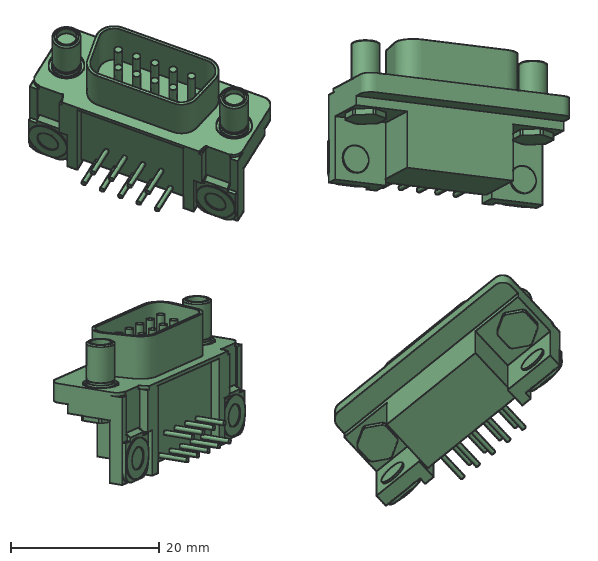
import cadquery as cq
import math

body_width = 31.05
half_width = body_width / 2
body_depth = 12.55
flange_top = 12.75
mid_y = body_depth / 2

flange_thickness = 2.7
thick_block_back = 9.62
thick_block_bottom = 8.78
leg_back = 3.0
corner_radius = 1.55
sheet_thickness = 0.5
sheet_bottom = flange_top - sheet_thickness
sheet_front = 1.37
sheet_corner_radius = 1.37
recess_half_width = 7.9
recess_depth = 1.2
housing_bottom = 0.93

lock_x = 12.5
pocket_depth = 1.05
lower_pocket_inner = 9.45
lower_pocket_top = 6.4
notch_back_x = 10.65
notch_front_x = 10.25

channel_width = 3.75
channel_inner = lock_x - channel_width / 2
channel_bottom = 6.7
strap_width = 3.45
strap_front = 1.27
lock_front = 0.55
jog_top = 6.92
plate_width = 5.85
plate_top = 5.9
plate_radius = 1.65
rivet_z = 3.15
rivet_radius = 2.85
rivet_front = 0.37
dimple_radius = 1.55
dimple_depth = 0.2
rivet_tail_radius = 1.9
rivet_tail_length = 0.28

shell_top = 18.7
shell_depth = 9.28
shell_radius = 2.55
shell_wall = 0.45
shell_back_flat = 6.4
shell_front_flat = 5.65

screw_top = 18.55
screw_radius = 1.92
screw_tip_radius = 1.65
screw_tip_height = 0.2
screw_neck_height = 0.55
screw_bottom = flange_top + screw_neck_height
screw_neck_radius = 1.8
screw_collar_radius = 2.0
screw_collar_top = flange_top + 0.2
screw_collar_edge = flange_top - 0.05
screw_bore_radius = 1.4
screw_bore_depth = 0.93
screw_seat_radius = 2.42
screw_seat_depth = 0.35
nut_flats = 5.0
nut_corners = 5.53
nut_height = 0.85

back_row_count = 5
front_row_count = 4
pin_pitch = 2.73
row_spacing = 2.85
contact_radius = 0.53
contact_top = 17.9
tail_radius = 0.35
tail_length = 3.17
lower_tail_z = 1.75


def box(x0, x1, y0, y1, z0, z1):
    return cq.Workplane("XY").box(x1 - x0, y1 - y0, z1 - z0, centered=False).translate((x0, y0, z0))


def upright(x, y, radius, z0, z1):
    return cq.Workplane("XY", origin=(x, y, z0)).circle(radius).extrude(z1 - z0)


def along_y(x, z, radius, y0, y1):
    return cq.Workplane("XZ", origin=(x, y0, z)).circle(radius).extrude(y0 - y1)


def both_ends(shape):
    return shape.union(shape.mirror("YZ"))


def make_body():
    flange = box(-half_width, half_width, 0, body_depth, flange_top - flange_thickness, flange_top)
    flange = flange.edges("|Z and >Y").fillet(corner_radius)
    block = box(-half_width, half_width, 0, thick_block_back,
                thick_block_bottom, flange_top - flange_thickness)
    legs = box(-half_width, half_width, 0, leg_back, 0, thick_block_bottom)
    legs = legs.cut(box(-recess_half_width, recess_half_width, 0, leg_back, 0, housing_bottom))
    housing = box(-recess_half_width, recess_half_width, recess_depth, thick_block_back,
                  housing_bottom, thick_block_bottom)
    recess = box(-recess_half_width, recess_half_width, 0, recess_depth, 0, sheet_bottom)
    return flange.union(block).union(legs).union(housing).cut(recess)


def make_end_pocket():
    upper = box(channel_inner, half_width, 0, pocket_depth, 0, sheet_bottom)
    lower = box(lower_pocket_inner, half_width, 0, pocket_depth, 0, lower_pocket_top)
    channel = box(channel_inner, lock_x + channel_width / 2, 0, strap_front,
                  channel_bottom, sheet_bottom)
    return upper.union(lower).union(channel)


def make_sheet_trim():
    """Material removed from the top sheet in front of one rounded end."""
    diagonal = math.sqrt(0.5) * sheet_corner_radius
    arc_center_x = half_width - sheet_corner_radius
    arc_center_y = sheet_front + sheet_corner_radius
    return (
        cq.Workplane("XY", origin=(0, 0, sheet_bottom))
        .moveTo(notch_front_x, 0)
        .lineTo(notch_back_x, sheet_front)
        .lineTo(arc_center_x, sheet_front)
        .threePointArc((arc_center_x + diagonal, arc_center_y - diagonal), (half_width, arc_center_y))
        .lineTo(half_width, 0)
        .close()
        .extrude(sheet_thickness)
    )


def make_board_lock():
    strap = (
        cq.Workplane("YZ", origin=(lock_x - strap_width / 2, 0, 0))
        .polyline([
            (strap_front, flange_top),
            (strap_front, jog_top),
            (lock_front, lower_pocket_top),
            (lock_front, rivet_z),
            (strap_front + sheet_thickness, rivet_z),
            (strap_front + sheet_thickness, flange_top),
        ])
        .close()
        .extrude(strap_width)
    )
    plate = box(lock_x - plate_width / 2, lock_x + plate_width / 2, lock_front, pocket_depth,
                plate_top - plate_width, plate_top)
    plate = plate.edges("|Y and <Z").fillet(plate_radius)
    disc = along_y(lock_x, rivet_z, rivet_radius, rivet_front, lock_front)
    dimple = along_y(lock_x, rivet_z, dimple_radius, rivet_front, rivet_front + dimple_depth)
    tail = along_y(lock_x, rivet_z, rivet_tail_radius, leg_back, leg_back + rivet_tail_length)
    return strap.union(plate).union(disc).cut(dimple).union(tail)


def d_prism(radius, bottom):
    """D-shaped prism up to the shell top; the slanted sides are tangent to the corner arcs."""
    center_y = shell_depth / 2 - shell_radius
    slant = math.atan2(shell_back_flat - shell_front_flat, 2 * center_y)

    def arc_point(x, y, angle):
        return (x + radius * math.cos(angle), y + radius * math.sin(angle))

    def mirrored(point):
        return (-point[0], point[1])

    quarter = math.pi / 2
    back_start = arc_point(shell_back_flat, center_y, quarter)
    back_mid = arc_point(shell_back_flat, center_y, (quarter - slant) / 2)
    back_end = arc_point(shell_back_flat, center_y, -slant)
    front_start = arc_point(shell_front_flat, -center_y, -slant)
    front_mid = arc_point(shell_front_flat, -center_y, -(quarter + slant) / 2)
    front_end = arc_point(shell_front_flat, -center_y, -quarter)
    return (
        cq.Workplane("XY", origin=(0, mid_y, bottom))
        .moveTo(*back_start)
        .threePointArc(back_mid, back_end)
        .lineTo(*front_start)
        .threePointArc(front_mid, front_end)
        .lineTo(*mirrored(front_end))
        .threePointArc(mirrored(front_mid), mirrored(front_start))
        .lineTo(*mirrored(back_end))
        .threePointArc(mirrored(back_mid), mirrored(back_start))
        .close()
        .extrude(shell_top - bottom)
    )


def make_screw():
    """Turned screw: collar with a tapered top, neck, head with a tapered tip and a blind bore."""
    outline = [
        (0, flange_top - screw_seat_depth),
        (screw_collar_radius, flange_top - screw_seat_depth),
        (screw_collar_radius, screw_collar_edge),
        (screw_neck_radius, screw_collar_top),
        (screw_neck_radius, screw_bottom),
        (screw_radius, screw_bottom),
        (screw_radius, screw_top - screw_tip_height),
        (screw_tip_radius, screw_top),
        (screw_bore_radius, screw_top),
        (screw_bore_radius, screw_top - screw_bore_depth),
        (0, screw_top - screw_bore_depth),
    ]
    screw = cq.Workplane("XZ").polyline(outline).close().revolve(360, (0, 0), (0, 1))
    return screw.translate((lock_x, mid_y, 0))


def make_nut():
    def hexagon(flats, turn):
        prism = cq.Workplane("XY").polygon(6, flats, circumscribed=True).extrude(-nut_height)
        return prism.rotate((0, 0, 0), (0, 0, 1), turn)

    nut = hexagon(nut_flats, 0).intersect(hexagon(nut_corners, 30))
    return nut.translate((lock_x, mid_y, thick_block_bottom))


def make_contact_row(count, y, tail_z):
    """One row of upright contacts with their tails leaving the front of the housing."""
    row = cq.Workplane("XY")
    for index in range(count):
        x = (index - (count - 1) / 2) * pin_pitch
        row = row.union(upright(x, y, contact_radius, thick_block_bottom, contact_top))
        row = row.union(along_y(x, tail_z, tail_radius, -tail_length, recess_depth))
    return row


seat = upright(lock_x, mid_y, screw_seat_radius, flange_top - screw_seat_depth, flange_top)
end_cuts = make_end_pocket().union(make_sheet_trim()).union(seat)
end_parts = make_board_lock().union(make_screw()).union(make_nut())

body = make_body().cut(both_ends(end_cuts)).union(both_ends(end_parts))
body = body.union(d_prism(shell_radius, flange_top))
body = body.cut(d_prism(shell_radius - shell_wall, sheet_bottom))

back_row = make_contact_row(back_row_count, mid_y + row_spacing / 2, lower_tail_z)
front_row = make_contact_row(front_row_count, mid_y - row_spacing / 2, lower_tail_z + row_spacing)
result = body.union(back_row).union(front_row)